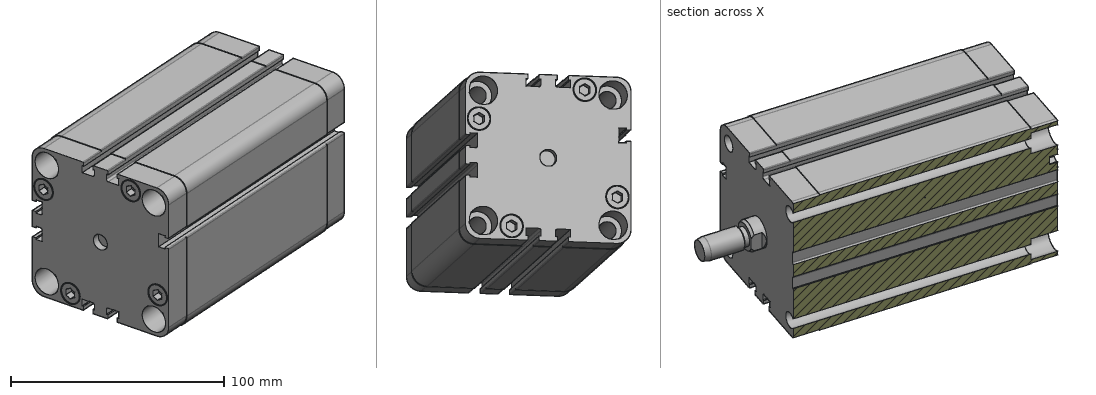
import cadquery as cq

total_length = 171.5
body_length = 140.0
cap_length = 14.0

profile_width = 80.0
cap_inset = 0.3
cap_width = profile_width - 2 * cap_inset
profile_corner_radius = 7.2
cap_corner_radius = profile_corner_radius - cap_inset

slot_offset = 7.0
slot_opening = 5.3
slot_chamber_width = 7.0
slot_depth = 6.2
slot_lip_depth = 2.5
slot_lip_rounding = 0.43
slot_corner_radius = 1.0
single_slot_offset = 12.0

mount_offset = 31.0
mount_hole_diameter = 8.4
mount_bore_diameter = 13.5
mount_bore_depth = cap_length

screw_edge_offset = 33.1
screw_side_offset = 17.5
screw_recess_diameter = 11.1
screw_head_diameter = 10.5
screw_gap_depth = 0.3
hex_socket_flats = 5.0
hex_socket_depth = 4.3

centre_hole_diameter = 8.0
centre_hole_depth = 4.0

rod_diameter = 16.0
rod_chamfer_length = 1.5
rod_chamfer_height = 0.9
rod_shoulder_y = 147.7
rod_flats_width = 13.0
rod_flats_end_y = 141.8
neck_diameter = 10.0
thread_start_y = 150.7
undercut_taper_length = 0.7
thread_diameter = 12.0
tip_diameter = 10.5
tip_length = 3.1


def blind_end_plane(y=0.0):
    """Sketch plane across the axis at the given Y: local x = X, local y = Z, normal = -Y."""
    return cq.Workplane("XZ", origin=(0, y, 0))


def block(width, corner_radius, y_start, length):
    return (
        blind_end_plane(y_start)
        .rect(width, width)
        .extrude(-length)
        .edges("|Y")
        .fillet(corner_radius)
    )


def make_housing():
    profile_length = body_length - 2 * cap_length
    rear_cap = block(cap_width, cap_corner_radius, 0, cap_length)
    profile = block(profile_width, profile_corner_radius, cap_length, profile_length)
    front_cap = block(cap_width, cap_corner_radius, body_length - cap_length, cap_length)
    return rear_cap.union(profile).union(front_cap)


def make_slot_mouth(offset, face_z, y_start, length):
    """Strip that rounds both lips of a slot where they meet a +Z face at face_z."""
    mouth_half = slot_opening / 2
    rounding = slot_lip_rounding
    return (
        blind_end_plane(y_start)
        .moveTo(offset - mouth_half - rounding, face_z)
        .radiusArc((offset - mouth_half, face_z - rounding), rounding)
        .lineTo(offset + mouth_half, face_z - rounding)
        .radiusArc((offset + mouth_half + rounding, face_z), rounding)
        .close()
        .extrude(-length)
    )


def make_slot(offset, inner_side=None):
    """Undercut slot in the +Z face, centred at X = offset.

    Given inner_side ("<" or ">" along X), the floor corner on that side is rounded.
    """
    profile_z = profile_width / 2
    cap_z = cap_width / 2
    floor_z = profile_z - slot_depth
    lip_z = profile_z - slot_lip_depth
    opening = (
        blind_end_plane()
        .center(offset, (lip_z + profile_z) / 2)
        .rect(slot_opening, slot_lip_depth)
        .extrude(-body_length)
    )
    chamber = (
        blind_end_plane()
        .center(offset, (floor_z + lip_z) / 2)
        .rect(slot_chamber_width, lip_z - floor_z)
        .extrude(-body_length)
    )
    if inner_side:
        chamber = chamber.edges(f"|Y and <Z and {inner_side}X").fillet(slot_corner_radius)
    slot = opening.union(chamber)
    for cap_y in (0, body_length - cap_length):
        slot = slot.union(make_slot_mouth(offset, cap_z, cap_y, cap_length))
    profile_length = body_length - 2 * cap_length
    return slot.union(make_slot_mouth(offset, profile_z, cap_length, profile_length))


def turned(shape, angle):
    """Turn a shape about the cylinder axis; 90 degrees takes the +Z face to +X."""
    return shape.rotate((0, 0, 0), (0, 1, 0), angle)


def cut_slots(housing):
    for angle in (0, 180, 270):
        for offset, inner_side in ((-slot_offset, ">"), (slot_offset, "<")):
            housing = housing.cut(turned(make_slot(offset, inner_side), angle))
    return housing.cut(turned(make_slot(-single_slot_offset), 90))


def cut_mounting_holes(housing):
    spacing = 2 * mount_offset
    corners = blind_end_plane().rarray(spacing, spacing, 2, 2)
    holes = corners.circle(mount_hole_diameter / 2).extrude(-body_length)
    bores = corners.circle(mount_bore_diameter / 2).extrude(-mount_bore_depth)
    return housing.cut(holes).cut(bores)


def cut_cap_screws(housing):
    """Outline each flush screw head with a fine ring gap and sink its hex socket."""
    positions = [
        (screw_side_offset, screw_edge_offset),
        (screw_edge_offset, -screw_side_offset),
        (-screw_side_offset, -screw_edge_offset),
        (-screw_edge_offset, screw_side_offset),
    ]
    heads = blind_end_plane().pushPoints(positions)
    gaps = (
        heads.circle(screw_recess_diameter / 2)
        .circle(screw_head_diameter / 2)
        .extrude(-screw_gap_depth)
    )
    housing = housing.cut(gaps)
    for x, z in positions:
        socket = (
            blind_end_plane()
            .center(x, z)
            .polygon(6, hex_socket_flats, circumscribed=True)
            .extrude(-hex_socket_depth)
        )
        housing = housing.cut(socket)
    return housing


def cut_centre_hole(housing):
    hole = blind_end_plane().circle(centre_hole_diameter / 2).extrude(-centre_hole_depth)
    return housing.cut(hole)


def make_rod():
    """Turned rod, rooted inside the front cap, with two wrench flats facing -X and +X."""
    root_y = body_length - cap_length / 2
    rod_radius = rod_diameter / 2
    rod = (
        cq.Workplane("XY")
        .moveTo(0, root_y)
        .lineTo(rod_radius, root_y)
        .lineTo(rod_radius, rod_shoulder_y - rod_chamfer_length)
        .lineTo(rod_radius - rod_chamfer_height, rod_shoulder_y)
        .lineTo(neck_diameter / 2, rod_shoulder_y)
        .lineTo(neck_diameter / 2, thread_start_y - undercut_taper_length)
        .lineTo(thread_diameter / 2, thread_start_y)
        .lineTo(thread_diameter / 2, total_length - tip_length)
        .lineTo(tip_diameter / 2, total_length)
        .lineTo(0, total_length)
        .close()
        .revolve(360, (0, 0, 0), (0, 1, 0))
    )
    flat_x = rod_flats_width / 2
    flat_runout = rod_radius - flat_x
    flat = (
        cq.Workplane("XY")
        .moveTo(flat_x, rod_shoulder_y)
        .lineTo(flat_x, rod_flats_end_y)
        .lineTo(rod_radius, rod_flats_end_y - flat_runout)
        .lineTo(rod_radius, rod_shoulder_y)
        .close()
        .extrude(rod_radius, both=True)
    )
    return rod.cut(flat).cut(flat.mirror("YZ"))


housing = cut_slots(make_housing())
housing = cut_mounting_holes(housing)
housing = cut_cap_screws(housing)
housing = cut_centre_hole(housing)
result = housing.union(make_rod())